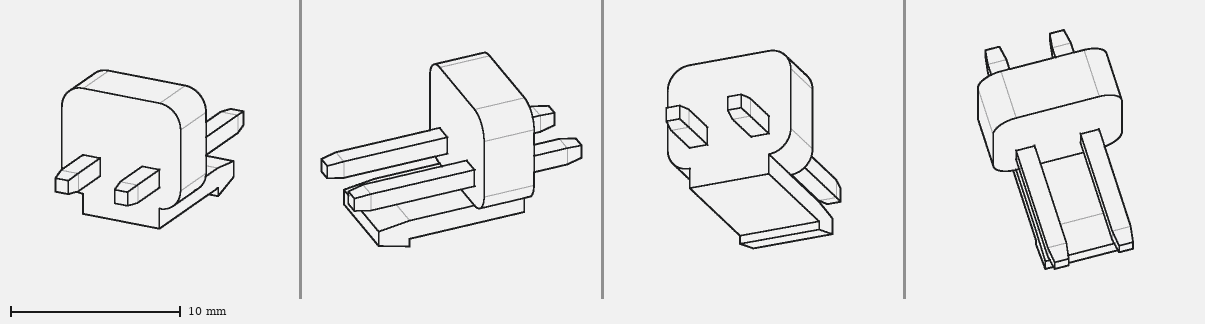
import cadquery as cq

pin_length = 14.65
pin_width = 1.15
pin_tip_width = 0.86
pin_taper = 1.0
pin_pitch = 3.95
pin_count = 2

housing_width = 7.93
housing_depth = 3.22
overall_height = 8.5
front_reach = 3.75
pin_height = 1.9

latch_width = (pin_count - 1) * pin_pitch + pin_width
latch_thickness = 1.27
latch_length = 9.39
barb_length = 1.99
barb_depth = 0.53
nose_drop = 0.26

latch_bottom = -latch_thickness
barb_bottom = latch_bottom - barb_depth
housing_height = overall_height + barb_bottom
corner_radius = (housing_width - latch_width) / 2
barb_start = latch_length - barb_length


def pin_x(index):
    """X position of a pin axis, with the row centred on X = 0."""
    return (index - (pin_count - 1) / 2) * pin_pitch


def make_taper():
    """Pin end that narrows along +Z from the full section to the tip."""
    return (
        cq.Workplane("XY")
        .rect(pin_width, pin_width)
        .workplane(offset=pin_taper)
        .rect(pin_tip_width, pin_tip_width)
        .loft(ruled=True)
    )


def make_pin(index):
    shank_length = pin_length - 2 * pin_taper
    shank = cq.Workplane("XY").box(pin_width, pin_width, shank_length)
    end = make_taper().translate((0, 0, shank_length / 2))
    pin = shank.union(end).union(end.mirror("XY"))
    pin = pin.rotate((0, 0, 0), (1, 0, 0), -90)
    return pin.translate((pin_x(index), pin_length / 2 - front_reach, pin_height))


def make_latch():
    profile = [
        (0, 0),
        (barb_start, 0),
        (latch_length, -nose_drop),
        (latch_length, latch_bottom),
        (barb_start, barb_bottom),
        (barb_start, latch_bottom),
        (0, latch_bottom),
    ]
    return cq.Workplane("YZ").polyline(profile).close().extrude(latch_width / 2, both=True)


def make_housing(pins):
    """Rounded block and latch arm in one piece, with a fitted hole for each pin."""
    block = (
        cq.Workplane("XY")
        .box(housing_width, housing_depth, housing_height, centered=(True, False, False))
        .edges("|Y")
        .fillet(corner_radius)
    )
    housing = block.union(make_latch())
    for pin in pins:
        housing = housing.cut(pin)
    return housing


pins = [make_pin(index) for index in range(pin_count)]
housing = make_housing(pins)

result = cq.Compound.makeCompound([housing.solids().val(), *[pin.solids().val() for pin in pins]])